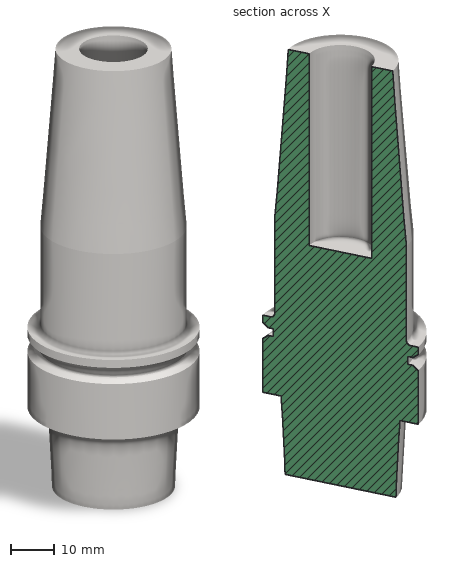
import cadquery as cq

total_length = 110.0
shank_length = 20.0
flange_top = 40.0
nose_start = 65.5

shank_end_diameter = 28.6
shank_root_diameter = 30.7
flange_diameter = 40.0
body_diameter = 34.0
nose_tip_diameter = 27.0

groove_diameter = 34.8
groove_bottom = 35.1
groove_top = 37.0
groove_bevel_height = 1.1
groove_bevel_width = 1.4

body_fillet = 1.0

bore_diameter = 16.0
bore_depth = 49.5


def revolved_holder():
    """Taper shank, flange, cylindrical body and conical nose as one solid."""
    profile = (
        cq.Workplane("XZ")
        .lineTo(shank_end_diameter / 2, 0)
        .lineTo(shank_root_diameter / 2, shank_length)
        .lineTo(flange_diameter / 2, shank_length)
        .lineTo(flange_diameter / 2, flange_top)
        .lineTo(body_diameter / 2 + body_fillet, flange_top)
        .radiusArc((body_diameter / 2, flange_top + body_fillet), body_fillet)
        .lineTo(body_diameter / 2, nose_start)
        .lineTo(nose_tip_diameter / 2, total_length)
        .lineTo(0, total_length)
        .close()
    )
    return profile.revolve(360, (0, 0, 0), (0, 1, 0))


def gripper_groove():
    """Ring that cuts the flange groove with bevelled outer edges."""
    floor_radius = groove_diameter / 2
    rim_radius = flange_diameter / 2
    bevel_radius = rim_radius - groove_bevel_width
    profile = (
        cq.Workplane("XZ")
        .moveTo(floor_radius, groove_bottom)
        .lineTo(bevel_radius, groove_bottom)
        .lineTo(rim_radius, groove_bottom - groove_bevel_height)
        .lineTo(rim_radius, groove_top + groove_bevel_height)
        .lineTo(bevel_radius, groove_top)
        .lineTo(floor_radius, groove_top)
        .close()
    )
    return profile.revolve(360, (0, 0, 0), (0, 1, 0))


def tool_bore():
    """Flat-bottomed cylinder that cuts the bore from the nose face."""
    bore_floor = total_length - bore_depth
    return cq.Workplane("XY").workplane(offset=bore_floor).circle(bore_diameter / 2).extrude(bore_depth)


result = revolved_holder().cut(gripper_groove()).cut(tool_bore())